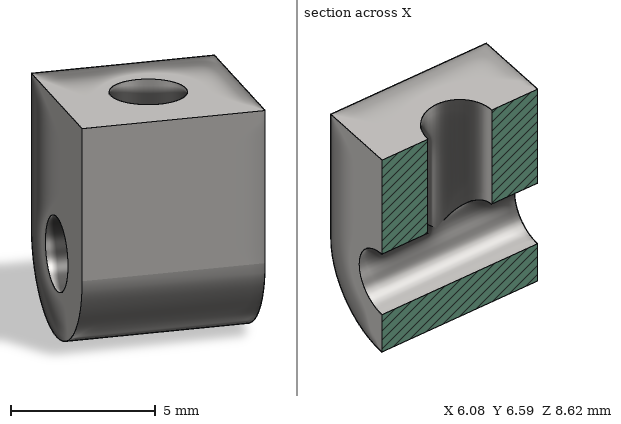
import cadquery as cq

width = 6.08
depth = 6.59
height = 8.62
bore_diameter = 2.7

end_radius = width / 2
top_z = height - end_radius


def make_body():
    """Block with a flat top and a full-round bottom, centred on Y."""
    return (
        cq.Workplane("XZ")
        .moveTo(-end_radius, 0)
        .lineTo(-end_radius, top_z)
        .lineTo(end_radius, top_z)
        .lineTo(end_radius, 0)
        .threePointArc((0, -end_radius), (-end_radius, 0))
        .close()
        .extrude(depth / 2, both=True)
    )


def make_cross_bore():
    """Through bore along Y, concentric with the rounded bottom."""
    return cq.Workplane("XZ").circle(bore_diameter / 2).extrude(depth / 2, both=True)


def make_top_bore():
    """Bore from the centre of the top face down to the cross bore axis."""
    return cq.Workplane("XY").circle(bore_diameter / 2).extrude(top_z)


result = make_body().cut(make_cross_bore()).cut(make_top_bore())